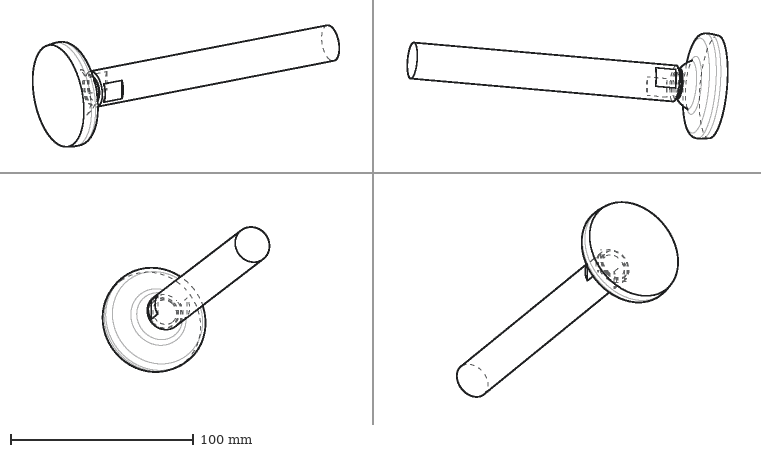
import cadquery as cq
import math

total_length = 172.0

foot_radius = 58.0 / 2
base_radius = 28.4
taper_top = 4.3
rim_top = 6.9
shoulder_radius = 26.1
shoulder_height = 10.0
cone_top_radius = 16.0
cone_top_height = 11.5
dome_base_height = 13.6
foot_height = 19.8
dome_radius = 14.5
dome_center_height = 7.9

stem_radius = 20.0 / 2
stem_bottom = 22.2
neck_radius = 6.9
collar_radius = 8.6
collar_height = 20.8
flat_bottom = 24.0
flat_top = 35.5
across_flats = 16.9


def dome_radius_at(height):
    """Radius of the spherical hub's cross-section at a given height."""
    return math.sqrt(dome_radius**2 - (height - dome_center_height) ** 2)


def turn(profile):
    """Revolve a closed radius-height profile fully about the Y axis."""
    return profile.revolve(360, (0, 0, 0), (0, 1, 0))


def make_foot():
    dome_mid_height = (foot_height + dome_base_height) / 2
    dome_mid = (dome_radius_at(dome_mid_height), dome_mid_height)
    dome_base = (dome_radius_at(dome_base_height), dome_base_height)
    profile = (
        cq.Workplane("XY")
        .moveTo(0, 0)
        .lineTo(0, foot_height)
        .lineTo(dome_radius_at(foot_height), foot_height)
        .threePointArc(dome_mid, dome_base)
        .tangentArcPoint((cone_top_radius, cone_top_height), relative=False)
        .lineTo(shoulder_radius, shoulder_height)
        .tangentArcPoint((foot_radius, rim_top), relative=False)
        .lineTo(foot_radius, taper_top)
        .lineTo(base_radius, 0)
        .close()
    )
    return turn(profile)


def make_flat_cutter(side):
    """Block that removes one wrench flat on the +X (1) or -X (-1) side."""
    cutter_width = stem_radius
    center_x = side * (across_flats + cutter_width) / 2
    center_y = (flat_bottom + flat_top) / 2
    return (
        cq.Workplane("XY")
        .box(cutter_width, flat_top - flat_bottom, 2 * stem_radius)
        .translate((center_x, center_y, 0))
    )


def make_stem():
    profile = (
        cq.Workplane("XY")
        .moveTo(0, foot_height)
        .lineTo(dome_radius_at(foot_height), foot_height)
        .lineTo(collar_radius, collar_height)
        .lineTo(neck_radius, stem_bottom)
        .lineTo(stem_radius, stem_bottom)
        .lineTo(stem_radius, total_length)
        .lineTo(0, total_length)
        .close()
    )
    stem = turn(profile)
    for side in (-1, 1):
        stem = stem.cut(make_flat_cutter(side))
    return stem


foot = make_foot()
stem = make_stem()

result = cq.Compound.makeCompound([foot.val(), stem.val()])